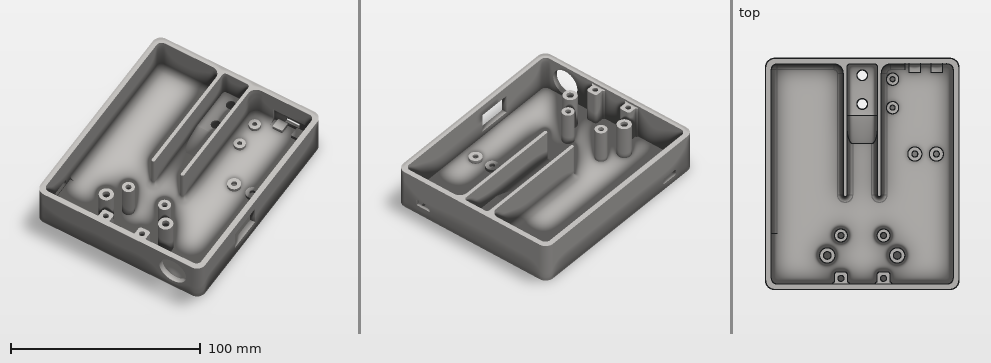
import cadquery as cq

WIDTH = 102.0
DEPTH = 122.0
HEIGHT = 24.0
WALL = 3.0
FLOOR = 3.0
OUTER_RADIUS = 5.0
CAVITY_RADIUS = 3.0
FLOOR_FILLET = 3.0

INNER_HALF_X = WIDTH / 2 - WALL
INNER_HALF_Y = DEPTH / 2 - WALL

CHANNEL_WIDTH = 16.1
DIVIDER_THICKNESS = 2.0
DIVIDER_FRONT_Y = -12.0
DIVIDER_ROOT_RADIUS = 5.0
CHANNEL_CORNER_RADIUS = 1.7
DIVIDER_OUTER_X = CHANNEL_WIDTH / 2 + DIVIDER_THICKNESS

FILLET_FRONT_Y = -31.4
FILLET_RIGHT_X = 22.5

PLATFORM_TOP = 8.0
RAMP_TOP_Y = 30.9
RAMP_BOTTOM_Y = 16.0
PLATFORM_HOLE_DIAMETER = 5.5
PLATFORM_HOLE_YS = (36.8, 52.0)

TALL_TOP = 22.8
LARGE_TOP = 23.2
LOW_TOP = 5.0
PAIR_X = 11.2
BOARD_BOSS_Y = -32.5
WALL_BOSS_Y = -55.0
BOARD_BOSS_DIAMETER = 6.8
BOARD_HOLE_DIAMETER = 3.2
LARGE_PAIR_X = 18.4
LARGE_BOSS_Y = -43.0

BOSS_GROUPS = (
    (BOARD_BOSS_DIAMETER, BOARD_HOLE_DIAMETER, TALL_TOP, ((-PAIR_X, BOARD_BOSS_Y), (PAIR_X, BOARD_BOSS_Y))),
    (8.0, 4.0, LARGE_TOP, ((-LARGE_PAIR_X, LARGE_BOSS_Y), (LARGE_PAIR_X, LARGE_BOSS_Y))),
    (7.5, BOARD_HOLE_DIAMETER, LOW_TOP, ((27.7, 10.5), (39.0, 10.5))),
    (6.5, 2.7, LOW_TOP, ((16.0, 34.9), (16.0, 49.9))),
)
WALL_BOSS_CORNER_RADIUS = 1.5
WALL_BOSS_ROOT_RADIUS = 1.0

CONNECTOR_X = 33.4
RECESS_WIDTH = 22.0
RECESS_TOP = 13.0
RECESS_DEPTH = 1.5
WINDOW_WIDTH = 8.8
WINDOW_BOTTOM = 5.6
WINDOW_HEIGHT = 3.7
BLOCK_WIDTH = 6.0
BLOCK_SPACING = 11.5
BLOCK_FRONT_Y = 53.5
BLOCK_TOP = 5.1

ROUND_HOLE_DIAMETER = 16.5
ROUND_HOLE_X = 34.0
ROUND_HOLE_Z = 12.8
SLOT_LENGTH = 10.7
SLOT_HEIGHT = 3.8
SLOT_CORNER_RADIUS = 1.2
SLOT_Y = -40.9
SLOT_Z = 5.6
SIDE_WINDOW_LENGTH = 20.0
SIDE_WINDOW_HEIGHT = 11.5
SIDE_WINDOW_Y = -16.2
SIDE_WINDOW_Z = 12.0


def box_between(x_range, y_range, z_range):
    """Box filling the given (low, high) ranges."""
    size = [high - low for low, high in (x_range, y_range, z_range)]
    return cq.Workplane("XY").box(*size, centered=False).translate((x_range[0], y_range[0], z_range[0]))


def divider(side):
    """Divider on one side of the channel, with a half-round front end."""
    inner_x = side * CHANNEL_WIDTH / 2
    outer_x = side * DIVIDER_OUTER_X
    middle_x = (inner_x + outer_x) / 2
    arc_start_y = DIVIDER_FRONT_Y + DIVIDER_THICKNESS / 2
    return (
        cq.Workplane("XY")
        .moveTo(inner_x, DEPTH / 2)
        .lineTo(inner_x, arc_start_y)
        .threePointArc((middle_x, DIVIDER_FRONT_Y), (outer_x, arc_start_y))
        .lineTo(outer_x, DEPTH / 2)
        .close()
        .extrude(2 * HEIGHT)
    )


def sharp_cavity():
    """Interior of the tray with the dividers left standing and a square floor edge."""
    cavity = (
        cq.Workplane("XY", origin=(0, 0, FLOOR))
        .rect(2 * INNER_HALF_X, 2 * INNER_HALF_Y)
        .extrude(HEIGHT)
        .edges("|Z")
        .fillet(CAVITY_RADIUS)
    )
    for side in (-1, 1):
        cavity = cavity.cut(divider(side))
        root = cq.selectors.NearestToPointSelector((side * DIVIDER_OUTER_X, INNER_HALF_Y, FLOOR + HEIGHT / 2))
        cavity = cavity.edges("|Z").edges(root).fillet(DIVIDER_ROOT_RADIUS)
    return cavity


def cavity_with_floor_fillet():
    """Interior whose floor edge is filleted only around the left pocket and the dividers."""
    sharp = sharp_cavity()
    filleted = sharp.faces("<Z").edges().fillet(FLOOR_FILLET)
    z_range = (0, 2 * HEIGHT)
    front_zone = box_between((-WIDTH, WIDTH), (-DEPTH, FILLET_FRONT_Y), z_range)
    right_zone = box_between((FILLET_RIGHT_X, WIDTH), (-DEPTH, DEPTH), z_range)
    return filleted.union(sharp.intersect(front_zone.union(right_zone)))


def platform():
    """Platform and ramp filling the back of the channel: a side profile extruded along X."""
    return (
        cq.Workplane("YZ")
        .moveTo(RAMP_BOTTOM_Y, FLOOR)
        .lineTo(RAMP_TOP_Y, PLATFORM_TOP)
        .lineTo(INNER_HALF_Y, PLATFORM_TOP)
        .lineTo(INNER_HALF_Y, 0)
        .lineTo(RAMP_BOTTOM_Y, 0)
        .close()
        .extrude(CHANNEL_WIDTH / 2, both=True)
    )


def cylinders(diameter, centres, top, bottom=0.0):
    """Vertical cylinders at the given centres."""
    base = cq.Workplane("XY", origin=(0, 0, bottom))
    return base.pushPoints(centres).circle(diameter / 2).extrude(top - bottom)


def wall_boss(x):
    """Boss joined to the front wall, rounded at its free corners and flared at the wall."""
    half = BOARD_BOSS_DIAMETER / 2
    inner_wall_y = -INNER_HALF_Y
    body = (
        box_between((x - half, x + half), (inner_wall_y, WALL_BOSS_Y + half), (FLOOR, TALL_TOP))
        .edges("|Z and >Y")
        .fillet(WALL_BOSS_CORNER_RADIUS)
    )
    for side in (-1, 1):
        corner_x = x + side * half
        flare = (
            cq.Workplane("XY", origin=(0, 0, FLOOR))
            .moveTo(corner_x, inner_wall_y)
            .lineTo(corner_x + side * WALL_BOSS_ROOT_RADIUS, inner_wall_y)
            .radiusArc((corner_x, inner_wall_y + WALL_BOSS_ROOT_RADIUS), -side * WALL_BOSS_ROOT_RADIUS)
            .close()
            .extrude(TALL_TOP - FLOOR)
        )
        body = body.union(flare)
    return body


def support_block(x):
    """Small block on the floor that carries one side of the connector."""
    half = BLOCK_WIDTH / 2
    return box_between((x - half, x + half), (BLOCK_FRONT_Y, DEPTH / 2 - WALL / 2), (0, BLOCK_TOP))


tray = (
    cq.Workplane("XY")
    .rect(WIDTH, DEPTH)
    .extrude(HEIGHT)
    .edges("|Z")
    .fillet(OUTER_RADIUS)
    .cut(cavity_with_floor_fillet())
    .union(platform())
)
for side in (-1, 1):
    back_corner = (side * CHANNEL_WIDTH / 2, INNER_HALF_Y, (PLATFORM_TOP + HEIGHT) / 2)
    corner_edge = cq.selectors.NearestToPointSelector(back_corner)
    tray = tray.edges("|Z").edges(corner_edge).fillet(CHANNEL_CORNER_RADIUS)
tray = tray.cut(cylinders(PLATFORM_HOLE_DIAMETER, [(0, y) for y in PLATFORM_HOLE_YS], HEIGHT))

recess_half = RECESS_WIDTH / 2
recess = box_between(
    (CONNECTOR_X - recess_half, CONNECTOR_X + recess_half),
    (INNER_HALF_Y - WALL, INNER_HALF_Y + RECESS_DEPTH),
    (FLOOR, RECESS_TOP),
)
window_half = WINDOW_WIDTH / 2
window = box_between(
    (CONNECTOR_X - window_half, CONNECTOR_X + window_half),
    (INNER_HALF_Y, DEPTH),
    (WINDOW_BOTTOM, WINDOW_BOTTOM + WINDOW_HEIGHT),
)
tray = tray.cut(recess).cut(window)
for side in (-1, 1):
    tray = tray.union(support_block(CONNECTOR_X + side * BLOCK_SPACING / 2))

for diameter, hole_diameter, top, centres in BOSS_GROUPS:
    tray = tray.union(cylinders(diameter, centres, top))
    tray = tray.cut(cylinders(hole_diameter, centres, top, FLOOR))
for x in (-PAIR_X, PAIR_X):
    tray = tray.union(wall_boss(x))
    tray = tray.cut(cylinders(BOARD_HOLE_DIAMETER, [(x, WALL_BOSS_Y)], TALL_TOP, FLOOR))

round_hole = (
    cq.Workplane("XZ", origin=(ROUND_HOLE_X, -INNER_HALF_Y, ROUND_HOLE_Z))
    .circle(ROUND_HOLE_DIAMETER / 2)
    .extrude(2 * WALL)
)

slot = (
    cq.Workplane("XY")
    .box(2 * WALL, SLOT_LENGTH, SLOT_HEIGHT)
    .edges("|X")
    .fillet(SLOT_CORNER_RADIUS)
    .translate((-WIDTH / 2, SLOT_Y, SLOT_Z))
)

side_window = (
    cq.Workplane("XY")
    .box(2 * WALL, SIDE_WINDOW_LENGTH, SIDE_WINDOW_HEIGHT)
    .translate((WIDTH / 2, SIDE_WINDOW_Y, SIDE_WINDOW_Z))
)

result = tray.cut(round_hole).cut(slot).cut(side_window)